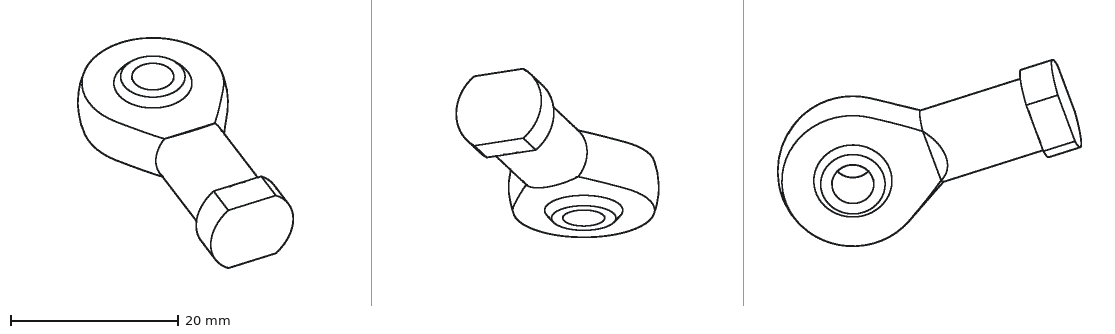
import cadquery as cq
import math


head_radius = 9.0
head_thickness = 6.0

ball_diameter = 11.11
ball_width = 8.0
bore_diameter = 5.0

shank_radius = 4.5
shank_start = 10.0
shank_end = 27.0
relief_length = 1.75
collar_radius = 5.5
collar_length = 4.0
collar_across_flats = 9.0


def slab(x_start, x_end, thickness):
    """Plate between two X positions, centred on Y and Z and as wide as the head."""
    width = 2 * head_radius
    plate = cq.Workplane("XY").box(x_end - x_start, width, thickness, centered=(False, True, True))
    return plate.translate((x_start, 0, 0))


def make_head():
    """Spherical head with a tangent cone down to the shank, cut flat above and below."""
    distance = math.hypot(shank_start, shank_radius)
    tangent_angle = math.atan2(shank_radius, shank_start) + math.acos(head_radius / distance)
    tangent_x = head_radius * math.cos(tangent_angle)
    tangent_y = head_radius * math.sin(tangent_angle)
    arc_mid_angle = (tangent_angle + math.pi) / 2
    arc_mid = (head_radius * math.cos(arc_mid_angle), head_radius * math.sin(arc_mid_angle))

    profile = (
        cq.Workplane("XY")
        .moveTo(-head_radius, 0)
        .threePointArc(arc_mid, (tangent_x, tangent_y))
        .lineTo(shank_start, shank_radius)
        .lineTo(shank_start, 0)
        .close()
    )
    solid = profile.revolve(360, (0, 0, 0), (1, 0, 0))
    return solid.intersect(slab(-head_radius, shank_start, head_thickness))


def make_shank():
    """Round shank whose start slopes down to the head thickness, above and below."""
    shank = cq.Workplane("YZ", origin=(shank_start, 0, 0)).circle(shank_radius).extrude(shank_end - shank_start)
    half_thickness = head_thickness / 2
    relief_end = shank_start + relief_length
    envelope = (
        cq.Workplane("XZ")
        .polyline([
            (shank_start, -half_thickness),
            (relief_end, -shank_radius),
            (shank_end, -shank_radius),
            (shank_end, shank_radius),
            (relief_end, shank_radius),
            (shank_start, half_thickness),
        ])
        .close()
        .extrude(head_radius, both=True)
    )
    return shank.intersect(envelope)


def make_collar():
    """Collar at the shank end with two wrench flats."""
    collar_start = shank_end - collar_length
    collar = cq.Workplane("YZ", origin=(collar_start, 0, 0)).circle(collar_radius).extrude(collar_length)
    return collar.intersect(slab(collar_start, shank_end, collar_across_flats))


def make_ball():
    """Ball cut flat at both ends."""
    ball = cq.Workplane("XY").sphere(ball_diameter / 2)
    return ball.intersect(slab(-ball_diameter, ball_diameter, ball_width))


def make_bore():
    """Cutter for the through bore of the ball."""
    return cq.Workplane("XY").circle(bore_diameter / 2).extrude(ball_width, both=True)


body = make_head().union(make_shank()).union(make_collar()).union(make_ball())
result = body.cut(make_bore())